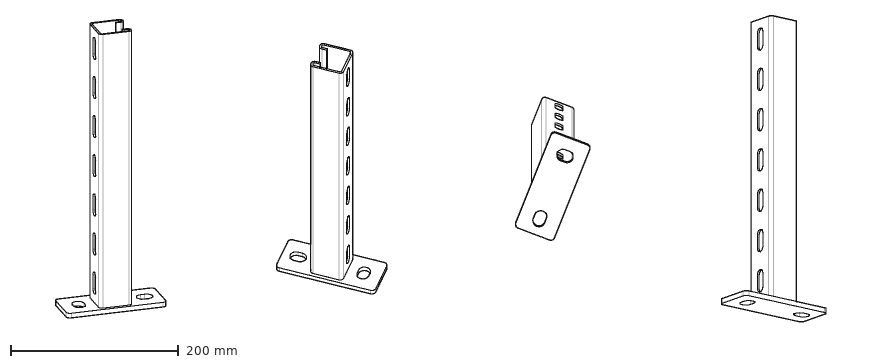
import cadquery as cq

plate_width = 50.0
plate_length = 125.0
plate_thickness = 6.0
plate_corner_radius = 5.0

mount_slot_width = 14.5
mount_slot_length = 20.0
back_slot_y = 42.5
front_slot_y = -40.2

total_height = 356.0
channel_size = 41.3
wall = 2.5
bend_radius = 4.3
lip_gap = 22.0
lip_depth = 10.5

web_slot_width = 10.0
web_slot_length = 27.5
web_slot_count = 7
bottom_slot_z = 31.0
top_slot_drop = 25.0
top_slot_z = total_height - top_slot_drop
web_slot_pitch = (top_slot_z - bottom_slot_z) / (web_slot_count - 1)

overlap = 3.5


def make_plate():
    plate = (
        cq.Workplane("XY")
        .rect(plate_width, plate_length)
        .extrude(plate_thickness)
        .edges("|Z")
        .fillet(plate_corner_radius)
    )
    for slot_y, angle in ((back_slot_y, 90), (front_slot_y, 0)):
        plate = plate.cut(
            cq.Workplane("XY")
            .center(0, slot_y)
            .slot2D(mount_slot_length, mount_slot_width, angle)
            .extrude(plate_thickness)
        )
    return plate


def make_channel():
    """Bent sheet channel whose mouth edges fold inwards as lips."""
    half = channel_size / 2
    half_gap = lip_gap / 2
    lip_end = half - lip_depth
    inner = half - wall
    lip_inner = half_gap + wall
    right_outline = [
        (half, -half),
        (half, half),
        (half_gap, half),
        (half_gap, lip_end),
        (lip_inner, lip_end),
        (lip_inner, inner),
        (inner, inner),
        (inner, -inner),
    ]
    left_outline = [(-x, y) for x, y in reversed(right_outline)]
    channel = (
        cq.Workplane("XY")
        .workplane(offset=plate_thickness)
        .polyline(right_outline + left_outline)
        .close()
        .extrude(total_height - plate_thickness)
    )

    def round_bend(body, x, y, radius):
        reach = wall / 4
        at_corner = cq.selectors.BoxSelector(
            (x - reach, y - reach, 0), (x + reach, y + reach, total_height)
        )
        return body.edges(at_corner).fillet(radius)

    inner_radius = bend_radius - wall
    for side in (-1, 1):
        for x, y in ((half, -half), (half, half), (half_gap, half)):
            channel = round_bend(channel, side * x, y, bend_radius)
        for x, y in ((inner, -inner), (inner, inner), (lip_inner, inner)):
            channel = round_bend(channel, side * x, y, inner_radius)
    return channel


def make_web_slots():
    centers = [(0, bottom_slot_z + i * web_slot_pitch) for i in range(web_slot_count)]
    return (
        cq.Workplane("XZ", origin=(0, -channel_size / 2 + wall + overlap, 0))
        .pushPoints(centers)
        .slot2D(web_slot_length, web_slot_width, 90)
        .extrude(wall + 2 * overlap)
    )


result = make_plate().union(make_channel().cut(make_web_slots()))